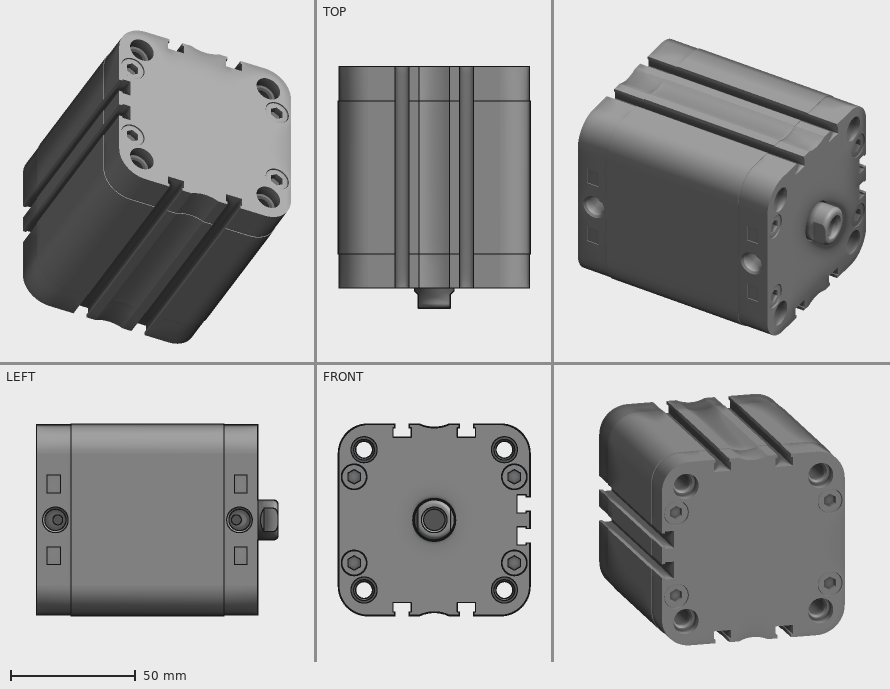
import cadquery as cq
import math


overall_length = 97.0
rod_protrusion = 8.1
body_length = overall_length - rod_protrusion
barrel_width = 77.0
barrel_step = 0.3
cap_width = barrel_width - 2 * barrel_step
front_cap_length = 13.7
rear_cap_length = 14.0
barrel_length = body_length - front_cap_length - rear_cap_length
cap_corner_radius = 11.7

groove_width = 12.0
groove_depth = 1.4

slot_width = 7.2
slot_mouth_width = 5.7
slot_floor = 33.2
lip_height = 36.9
top_slot_offset = 12.9
side_slot_offset = 6.4

mount_spacing = 56.3
mount_bore_diameter = 10.5
mount_bore_depth = 5.0
mount_cone_diameter = 8.3
mount_hole_diameter = 6.7

screw_spacing_x = 64.2
screw_spacing_z = 34.5
screw_recess_diameter = 10.3
screw_head_diameter = 9.8
screw_recess_depth = 6.0
screw_head_gap = 0.5
socket_flats = 5.0
socket_depth = 3.0

front_port_inset = 7.4
rear_port_inset = 7.7
port_mouth_diameter = 10.3
port_diameter = 8.5
port_depth = 8.7
duct_diameter = 4.0
duct_inset = 8.6
duct_depth = 4.85

label_inset = 4.4
label_height = 7.1
label_offset = 14.4
label_depth = 0.3
front_label_width = 4.9
rear_label_width = 5.3

rod_diameter = 16.0
rod_seat_diameter = 16.5
rod_seat_mouth = 17.3
rod_seat_depth = 1.9
rod_fillet = 1.9
rod_flats = 13.0
rod_flat_start = 2.5
rod_thread_diameter = 8.5
rod_thread_mouth = 10.3
rod_thread_depth = 17.5


def front_plane(y=0.0):
    return cq.Workplane("XZ", origin=(0, y, 0))


def cylinder_y(points, diameter, y_start, y_end):
    """Cylinders along Y at the given (x, z) points."""
    return front_plane(y_start).pushPoints(points).circle(diameter / 2).extrude(y_start - y_end)


def cone(point, direction, mouth_diameter, end_diameter):
    """45 degree countersink that narrows along the given direction."""
    depth = (mouth_diameter - end_diameter) / 2
    start = cq.Vector(*point)
    axis = cq.Vector(*direction)
    return cq.Workplane(cq.Solid.makeCone(mouth_diameter / 2, end_diameter / 2, depth, start, axis))


def grid(spacing_x, spacing_z):
    """Four (x, z) points around the Y axis."""
    return [(x * spacing_x / 2, z * spacing_z / 2) for x in (-1, 1) for z in (-1, 1)]


def rounded_block(width, radius, y_start, length):
    return front_plane(y_start).rect(width, width).extrude(-length).edges("|Y").fillet(radius)


def body_block():
    """Caps and barrel with rounded corners, grooved along the top and the bottom."""
    block = rounded_block(cap_width, cap_corner_radius, 0, body_length)
    block = block.cut(grooves(cap_width, 0, body_length))
    barrel = rounded_block(barrel_width, cap_corner_radius + barrel_step, front_cap_length, barrel_length)
    barrel = barrel.cut(grooves(barrel_width, front_cap_length, barrel_length))
    return block.union(barrel)


def grooves(width, y_start, length):
    """Arc-shaped cutters for the top and bottom faces of a block of the given width."""
    edge = width / 2
    half = groove_width / 2
    top = (
        front_plane(y_start)
        .moveTo(-half, edge)
        .threePointArc((0, edge - groove_depth), (half, edge))
        .close()
        .extrude(-length)
    )
    return top.union(about_y(top, 180))


def sensor_slot(offset):
    """T slot that opens upward at the given X."""
    top = barrel_width / 2
    chamber_height = lip_height - slot_floor
    chamber = front_plane().center(offset, slot_floor + chamber_height / 2).rect(slot_width, chamber_height)
    mouth_height = top - slot_floor
    mouth = front_plane().center(offset, slot_floor + mouth_height / 2).rect(slot_mouth_width, mouth_height)
    return chamber.extrude(-body_length).union(mouth.extrude(-body_length))


def about_y(shape, angle):
    return shape.rotate((0, 0, 0), (0, 1, 0), angle)


def cap_face_cuts(y_face, inward):
    """Mounting counterbores and screw recesses of one cap; inward is +1 or -1 along Y."""
    corners = grid(mount_spacing, mount_spacing)
    floor = y_face + inward * mount_bore_depth
    cuts = cylinder_y(corners, mount_bore_diameter, y_face, floor)
    for x, z in corners:
        cuts = cuts.union(cone((x, floor, z), (0, inward, 0), mount_cone_diameter, mount_hole_diameter))
    screws = grid(screw_spacing_x, screw_spacing_z)
    head_top = y_face + inward * screw_head_gap
    recess_floor = y_face + inward * screw_recess_depth
    recess = cylinder_y(screws, screw_recess_diameter, y_face, recess_floor)
    head = cylinder_y(screws, screw_head_diameter, head_top, recess_floor)
    hexagons = cq.Sketch().push(screws).regularPolygon(socket_flats / math.sqrt(3), 6)
    socket = front_plane(head_top).placeSketch(hexagons).extrude(-inward * socket_depth)
    return cuts.union(recess.cut(head)).union(socket)


def air_port(port_y, duct_y):
    """Countersunk port with an off-center duct in its floor."""
    face = -cap_width / 2
    side = cq.Workplane("YZ", origin=(face, 0, 0))
    port = side.center(port_y, 0).circle(port_diameter / 2).extrude(port_depth)
    duct = side.center(duct_y, 0).circle(duct_diameter / 2).extrude(port_depth + duct_depth)
    return port.union(duct).union(cone((face, port_y, 0), (1, 0, 0), port_mouth_diameter, port_diameter))


def label_panels(center_y, width):
    return (
        cq.Workplane("YZ", origin=(-cap_width / 2, 0, 0))
        .pushPoints([(center_y, -label_offset), (center_y, label_offset)])
        .rect(width, label_height)
        .extrude(label_depth)
    )


def piston_rod():
    """Round rod with a filleted end and two wrench flats that run out at 45 degrees."""
    tip = -rod_protrusion
    rod = cylinder_y([(0, 0)], rod_diameter, tip, rod_seat_depth).faces("<Y").edges().fillet(rod_fillet)
    half_flat = rod_flats / 2
    run_out = (rod_diameter - rod_flats) / 2
    for side in (-1, 1):
        wedge = (
            cq.Workplane("XY", origin=(0, 0, -rod_diameter / 2))
            .moveTo(side * half_flat, tip)
            .lineTo(side * half_flat, -rod_flat_start)
            .lineTo(side * (half_flat + run_out), -rod_flat_start + run_out)
            .lineTo(side * (half_flat + run_out), tip)
            .close()
            .extrude(rod_diameter)
        )
        rod = rod.cut(wedge)
    return rod


result = body_block()
for angle in (0, 180):
    for offset in (-top_slot_offset, top_slot_offset):
        result = result.cut(about_y(sensor_slot(offset), angle))
for offset in (-side_slot_offset, side_slot_offset):
    result = result.cut(about_y(sensor_slot(offset), 90))

result = result.cut(cap_face_cuts(0, 1)).cut(cap_face_cuts(body_length, -1))
result = result.cut(cylinder_y(grid(mount_spacing, mount_spacing), mount_hole_diameter, 0, body_length))

result = result.cut(air_port(front_port_inset, duct_inset))
result = result.cut(air_port(body_length - rear_port_inset, body_length - duct_inset))
result = result.cut(label_panels(label_inset + front_label_width / 2, front_label_width))
result = result.cut(label_panels(body_length - label_inset - rear_label_width / 2, rear_label_width))

rod_tip = -rod_protrusion
result = result.cut(cylinder_y([(0, 0)], rod_seat_diameter, 0, rod_seat_depth))
result = result.cut(cone((0, 0, 0), (0, 1, 0), rod_seat_mouth, rod_seat_diameter)).union(piston_rod())
result = result.cut(cylinder_y([(0, 0)], rod_thread_diameter, rod_tip, rod_tip + rod_thread_depth))
result = result.cut(cone((0, rod_tip, 0), (0, 1, 0), rod_thread_mouth, rod_thread_diameter))